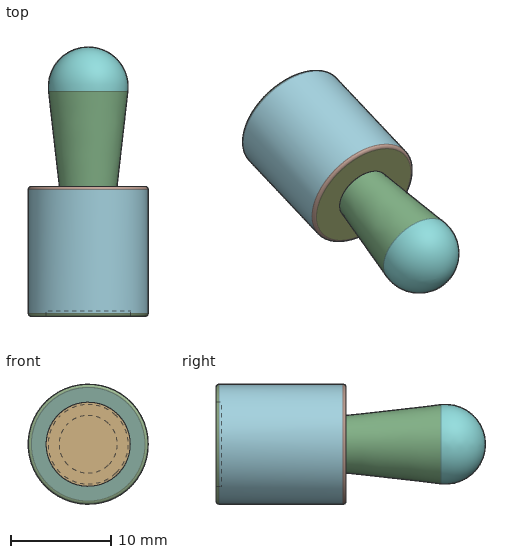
import cadquery as cq
import math

total_length = 26.9
body_diameter = 12.0
body_length = 13.0
edge_radius = 0.32
recess_diameter = 8.4
recess_depth = 0.55
ball_diameter = 8.0
neck_diameter = 5.78

body_radius = body_diameter / 2
ball_radius = ball_diameter / 2
neck_radius = neck_diameter / 2
ball_center_y = total_length - ball_radius


def make_body():
    """Cylinder with rounded rims and a shallow round recess in its front face."""
    cylinder = cq.Workplane("XZ").circle(body_radius).extrude(-body_length)
    cylinder = cylinder.edges("%CIRCLE").fillet(edge_radius)
    recess = cq.Workplane("XZ").circle(recess_diameter / 2).extrude(-recess_depth)
    return cylinder.cut(recess)


def make_lever():
    """Tapered shank that runs tangentially into a ball end, revolved about Y."""
    neck_to_center = ball_center_y - body_length
    rim_distance = math.hypot(neck_to_center, neck_radius)
    taper = math.asin(ball_radius / rim_distance) - math.atan2(neck_radius, neck_to_center)
    tangent_point = (
        ball_radius * math.cos(taper),
        ball_center_y - ball_radius * math.sin(taper),
    )
    arc_middle = (
        ball_radius * math.cos(math.pi / 4),
        ball_center_y + ball_radius * math.sin(math.pi / 4),
    )
    return (
        cq.Workplane("XY")
        .moveTo(0, body_length)
        .lineTo(neck_radius, body_length)
        .lineTo(*tangent_point)
        .threePointArc(arc_middle, (0, total_length))
        .close()
        .revolve(360, (0, 0, 0), (0, 1, 0))
    )


result = make_body().union(make_lever())